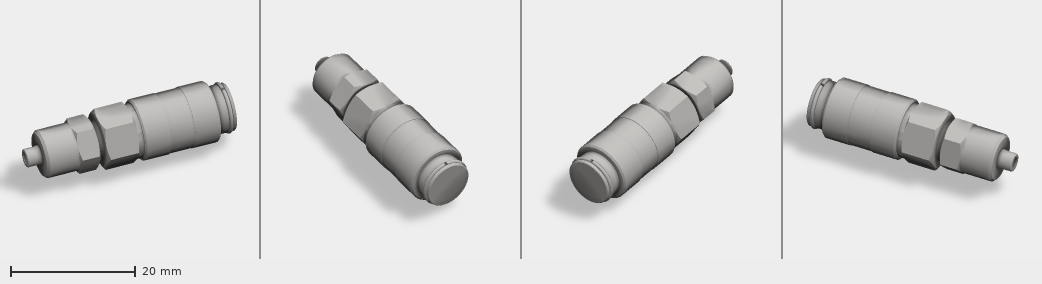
import cadquery as cq
import math


MATING_RADIUS = 4.0
MATING_EDGE_CHAMFER = 0.12
SLEEVE_START = 3.1

RING_OUTER_RADIUS = 4.28
RING_WIRE_RADIUS = 0.32
RING_CENTRE = 0.95
RING_GAP = 0.5
RING_CENTRE_RADIUS = RING_OUTER_RADIUS - RING_WIRE_RADIUS
GROOVE_WIDTH = 0.8
GROOVE_FLOOR_RADIUS = RING_CENTRE_RADIUS - RING_WIRE_RADIUS

SLEEVE_RADIUS = 5.1
GRIP_RADIUS = 5.0
SLEEVE_END = 16.15
BAND_LENGTH = 4.47
SLEEVE_CHAMFER_LENGTH = 0.3
SLEEVE_CHAMFER_DEPTH = 0.27

BODY_HEX_FLATS = 9.0
HEX_SHANK_RADIUS = 4.55
BODY_HEX_START = 17.0
BODY_HEX_END = 22.5

NECK_RADIUS = 3.0
NECK_FILLET = 0.5

TAIL_HEX_FLATS = 8.0
TAIL_HEX_TURN = 9.7
TAIL_HEX_START = 23.48
TAIL_HEX_END = 27.04
TAIL_HEX_FACE_RADIUS = 3.9
TAIL_RADIUS = 4.0
TAIL_END = 32.55
TAIL_CHAMFER_LENGTH = 0.45
TAIL_CHAMFER_DEPTH = 0.4

TIP_RADIUS = 1.53
TIP_ROOT_RADIUS = 1.65
TIP_ROOT_LENGTH = 0.82
TIP_END = 35.0
TIP_EDGE_CHAMFER = 0.13
TIP_HOLE_RADIUS = 1.0

HEX_CORNER_ANGLE = 30.0


def revolved(profile):
    """Solid of revolution about Y from (radius, station) points, closed along the axis."""
    points = [(radius, -station) for radius, station in profile]
    axis_points = [(0, points[-1][1]), (0, points[0][1])]
    outline = cq.Workplane("XY").polyline(points + axis_points).close()
    return outline.revolve(360, (0, 0, 0), (0, 1, 0))


def corner_radius_of(flats):
    """Distance from the axis to the corners of a hexagon with the given width across flats."""
    return flats / 2 / math.cos(math.pi / 6)


def hex_bar(flats, start, end, turn=0.0):
    """Hexagonal bar along Y with two corners on the X axis, then turned towards +Z."""
    bar = cq.Workplane("XZ").polygon(6, 2 * corner_radius_of(flats)).extrude(end - start)
    return bar.translate((0, -start, 0)).rotate((0, 0, 0), (0, 1, 0), -turn)


def corner_run(radius, flats):
    """Axial length of the corner chamfer cone from a radius out to the hexagon corners."""
    return (corner_radius_of(flats) - radius) * math.tan(math.radians(HEX_CORNER_ANGLE))


def mating_end():
    groove_start = RING_CENTRE - GROOVE_WIDTH / 2
    groove_end = RING_CENTRE + GROOVE_WIDTH / 2
    return revolved([
        (MATING_RADIUS - MATING_EDGE_CHAMFER, 0),
        (MATING_RADIUS, MATING_EDGE_CHAMFER),
        (MATING_RADIUS, groove_start),
        (GROOVE_FLOOR_RADIUS, groove_start),
        (GROOVE_FLOOR_RADIUS, groove_end),
        (MATING_RADIUS, groove_end),
        (MATING_RADIUS, SLEEVE_START),
    ])


def sleeve():
    front_band_end = SLEEVE_START + BAND_LENGTH
    rear_band_start = SLEEVE_END - BAND_LENGTH
    shoulder_radius = SLEEVE_RADIUS - SLEEVE_CHAMFER_DEPTH
    return revolved([
        (shoulder_radius, SLEEVE_START),
        (SLEEVE_RADIUS, SLEEVE_START + SLEEVE_CHAMFER_LENGTH),
        (SLEEVE_RADIUS, front_band_end),
        (GRIP_RADIUS, front_band_end),
        (GRIP_RADIUS, rear_band_start),
        (SLEEVE_RADIUS, rear_band_start),
        (SLEEVE_RADIUS, SLEEVE_END - SLEEVE_CHAMFER_LENGTH),
        (shoulder_radius, SLEEVE_END),
    ])


def body_hexagon():
    """Hexagon with chamfered corners; its flats run on across the round shank."""
    corner_radius = corner_radius_of(BODY_HEX_FLATS)
    end_radius = BODY_HEX_FLATS / 2
    envelope = revolved([
        (HEX_SHANK_RADIUS, SLEEVE_END),
        (HEX_SHANK_RADIUS, BODY_HEX_START),
        (corner_radius, BODY_HEX_START + corner_run(HEX_SHANK_RADIUS, BODY_HEX_FLATS)),
        (corner_radius, BODY_HEX_END - corner_run(end_radius, BODY_HEX_FLATS)),
        (end_radius, BODY_HEX_END),
    ])
    return hex_bar(BODY_HEX_FLATS, SLEEVE_END, BODY_HEX_END).intersect(envelope)


def neck():
    """Round neck that meets the body hexagon in a concave fillet."""
    fillet_reach = NECK_FILLET * (1 - math.sqrt(0.5))
    outline = (
        cq.Workplane("XY")
        .moveTo(0, -BODY_HEX_END)
        .lineTo(NECK_RADIUS + NECK_FILLET, -BODY_HEX_END)
        .threePointArc(
            (NECK_RADIUS + fillet_reach, -BODY_HEX_END - fillet_reach),
            (NECK_RADIUS, -BODY_HEX_END - NECK_FILLET),
        )
        .lineTo(NECK_RADIUS, -TAIL_HEX_START)
        .lineTo(0, -TAIL_HEX_START)
        .close()
    )
    return outline.revolve(360, (0, 0, 0), (0, 1, 0))


def tail_hexagon():
    corner_radius = corner_radius_of(TAIL_HEX_FLATS)
    envelope = revolved([
        (TAIL_HEX_FACE_RADIUS, TAIL_HEX_START),
        (corner_radius, TAIL_HEX_START + corner_run(TAIL_HEX_FACE_RADIUS, TAIL_HEX_FLATS)),
        (corner_radius, TAIL_HEX_END - corner_run(TAIL_RADIUS, TAIL_HEX_FLATS)),
        (TAIL_RADIUS, TAIL_HEX_END),
    ])
    bar = hex_bar(TAIL_HEX_FLATS, TAIL_HEX_START, TAIL_HEX_END, TAIL_HEX_TURN)
    return bar.intersect(envelope)


def tail_cylinder():
    return revolved([
        (TAIL_RADIUS, TAIL_HEX_END),
        (TAIL_RADIUS, TAIL_END - TAIL_CHAMFER_LENGTH),
        (TAIL_RADIUS - TAIL_CHAMFER_DEPTH, TAIL_END),
    ])


def tip():
    """Small tube that flares where it leaves the tail."""
    return revolved([
        (TIP_ROOT_RADIUS, TAIL_END),
        (TIP_RADIUS, TAIL_END + TIP_ROOT_LENGTH),
        (TIP_RADIUS, TIP_END - TIP_EDGE_CHAMFER),
        (TIP_RADIUS - TIP_EDGE_CHAMFER, TIP_END),
    ])


def connector_body():
    body = mating_end()
    for section in (sleeve(), body_hexagon(), neck(), tail_hexagon(), tail_cylinder(), tip()):
        body = body.union(section)
    tip_hole = revolved([(TIP_HOLE_RADIUS, TAIL_END), (TIP_HOLE_RADIUS, TIP_END)])
    return body.cut(tip_hole)


def split_ring():
    """Round-wire ring in the groove, open at the top (+Z)."""
    wire = cq.Workplane("XY").center(RING_CENTRE_RADIUS, -RING_CENTRE).circle(RING_WIRE_RADIUS)
    ring = wire.revolve(360, (-RING_CENTRE_RADIUS, 0, 0), (-RING_CENTRE_RADIUS, 1, 0))
    gap = (
        cq.Workplane("XY")
        .center(0, -RING_CENTRE)
        .rect(RING_GAP, GROOVE_WIDTH)
        .extrude(RING_OUTER_RADIUS + RING_WIRE_RADIUS)
    )
    return ring.cut(gap)


body = connector_body()
ring = split_ring()
result = cq.Compound.makeCompound([body.val(), ring.val()])